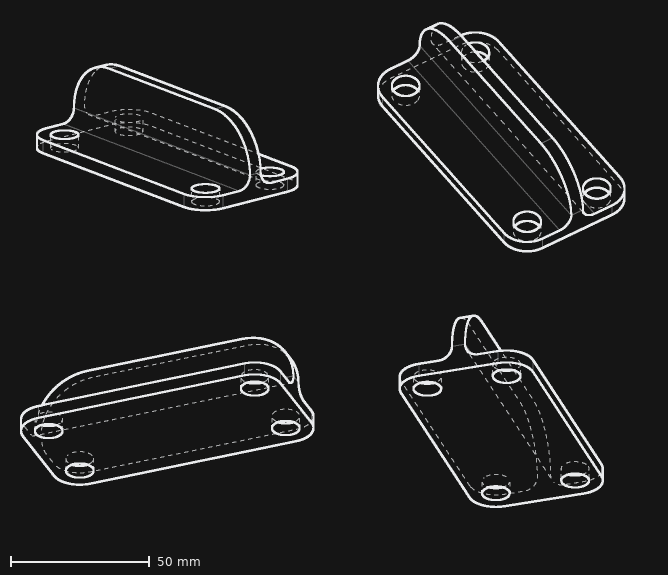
import cadquery as cq

length = 100.0
width = 50.0
height = 30.0
thickness = 5.0
plate_corner_radius = 10.0
rib_corner_radius = 20.0
root_fillet_radius = 5.0
hole_diameter = 10.0

hole_spacing_x = length - 2 * plate_corner_radius
hole_spacing_y = width - 2 * plate_corner_radius


def make_base_plate():
    """Flat plate with rounded corners, resting on Z = 0."""
    return (
        cq.Workplane("XY")
        .rect(length, width)
        .extrude(thickness)
        .edges("|Z")
        .fillet(plate_corner_radius)
    )


def make_rib():
    """Upright rib along the middle of the plate, with flared roots."""
    half_thickness = thickness / 2
    root_half_width = half_thickness + root_fillet_radius
    root_top = thickness + root_fillet_radius
    arc_offset = root_fillet_radius * (1 - 0.5 ** 0.5)

    profile = (
        cq.Workplane("YZ")
        .moveTo(-root_half_width, 0)
        .lineTo(root_half_width, 0)
        .lineTo(root_half_width, thickness)
        .threePointArc(
            (half_thickness + arc_offset, thickness + arc_offset),
            (half_thickness, root_top),
        )
        .lineTo(half_thickness, height)
        .lineTo(-half_thickness, height)
        .lineTo(-half_thickness, root_top)
        .threePointArc(
            (-half_thickness - arc_offset, thickness + arc_offset),
            (-root_half_width, thickness),
        )
        .close()
    )
    rib = profile.extrude(length / 2, both=True)

    return rib.faces(">Z").edges("|Y").fillet(rib_corner_radius)


def drill_mounting_holes(body):
    """Four through holes, one near each plate corner."""
    return (
        body.faces("<Z")
        .workplane(origin=(0, 0, 0))
        .rarray(hole_spacing_x, hole_spacing_y, 2, 2)
        .hole(hole_diameter, thickness)
    )


result = drill_mounting_holes(make_base_plate().union(make_rib()))